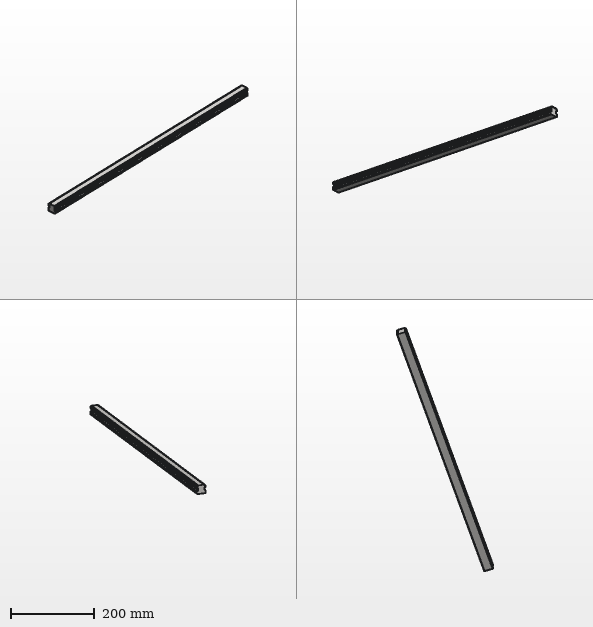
import cadquery as cq

RAIL_WIDTH = 23.0
RAIL_LENGTH = 680.0
RAIL_HEIGHT = 22.0

TOP_WIDTH = 16.8
TOP_WALL_HEIGHT = 0.8
UPPER_GROOVE_RADIUS = 6.2
UPPER_GROOVE_BOTTOM = 19.2
BEVEL_WIDTH = 0.6
BEVEL_HEIGHT = 0.6
HEAD_SIDE_BOTTOM = 16.5

LOWER_GROOVE_RADIUS = 2.2
LOWER_GROOVE_INNER_WIDTH = 18.1
LOWER_GROOVE_BOTTOM = 13.7

WAIST_WIDTH = 16.0
WAIST_TOP = 13.4
WAIST_BOTTOM = 10.4

SHOULDER_INNER_WIDTH = 16.8
SHOULDER_TOP = 9.6
FOOT_CHAMFER = 1.5


def draw_right_flank(sketch):
    """Continue the section from the bottom right corner up to the top right corner."""
    side = RAIL_WIDTH / 2
    waist = WAIST_WIDTH / 2
    shoulder_inner = SHOULDER_INNER_WIDTH / 2
    shoulder_bottom = SHOULDER_TOP - (side - shoulder_inner)
    lower_groove_inner = LOWER_GROOVE_INNER_WIDTH / 2
    top_edge = TOP_WIDTH / 2
    top_wall_bottom = RAIL_HEIGHT - TOP_WALL_HEIGHT
    return (
        sketch
        .lineTo(side, FOOT_CHAMFER)
        .lineTo(side, shoulder_bottom)
        .lineTo(shoulder_inner, SHOULDER_TOP)
        .lineTo(waist, WAIST_BOTTOM)
        .lineTo(waist, WAIST_TOP)
        .lineTo(lower_groove_inner, LOWER_GROOVE_BOTTOM)
        .radiusArc((side, HEAD_SIDE_BOTTOM), LOWER_GROOVE_RADIUS)
        .lineTo(side, UPPER_GROOVE_BOTTOM - BEVEL_HEIGHT)
        .lineTo(side - BEVEL_WIDTH, UPPER_GROOVE_BOTTOM)
        .radiusArc((top_edge, top_wall_bottom), UPPER_GROOVE_RADIUS)
        .lineTo(top_edge, RAIL_HEIGHT)
    )


def make_half_rail():
    """Right half of the rail, from the centre plane outwards, centred along Y."""
    foot_edge = RAIL_WIDTH / 2 - FOOT_CHAMFER
    section = cq.Workplane("XZ").moveTo(0, 0).lineTo(foot_edge, 0)
    section = draw_right_flank(section).lineTo(0, RAIL_HEIGHT).close()
    return section.extrude(RAIL_LENGTH / 2, both=True)


def make_rail():
    """Whole rail: the right half joined to its mirror image in the centre plane."""
    half = make_half_rail()
    return half.union(half.mirror("YZ")).clean()


result = make_rail()